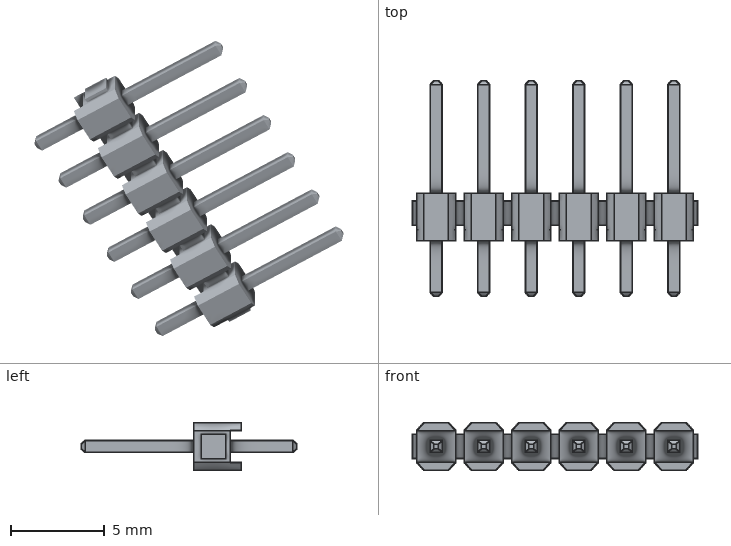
import cadquery as cq

pin_count = 6
row_length = 15.24
pitch = row_length / pin_count

block_width = 2.1
block_height = 2.55
block_depth = 2.55
bevel_width = 0.4
lip_thickness = 0.43
lip_overhang = 0.58

bar_size = 1.31
bar_rear_setback = 0.41

pin_size = 0.64
tip_length = 0.21
tip_size = 0.25
rear_pin_length = 6.02
front_pin_length = 2.97

block_rear = block_depth / 2
block_front = -block_depth / 2


def make_block():
    """Block with bevelled long edges and a front recess between its two lips."""
    half_width = block_width / 2
    half_height = block_height / 2
    flat = half_width - bevel_width
    side = half_height - lip_thickness
    outline = [
        (half_width, -side),
        (half_width, side),
        (flat, half_height),
        (-flat, half_height),
        (-half_width, side),
        (-half_width, -side),
        (-flat, -half_height),
        (flat, -half_height),
    ]
    block = cq.Workplane("XZ", origin=(0, block_rear, 0)).polyline(outline).close().extrude(block_depth)
    recess = cq.Workplane("XY").box(block_width, lip_overhang, 2 * side)
    return block.cut(recess.translate((0, block_front + lip_overhang / 2, 0)))


def make_tip(shank_end, pin_end):
    """Truncated pyramid from the square shank to the small flat at the pin end."""
    direction = 1 if pin_end > shank_end else -1
    base = cq.Plane(origin=(0, shank_end, 0), xDir=(1, 0, 0), normal=(0, direction, 0))
    return (
        cq.Workplane(base)
        .rect(pin_size, pin_size)
        .workplane(offset=tip_length)
        .rect(tip_size, tip_size)
        .loft(ruled=True)
    )


def make_pin():
    """Square pin with a tapered tip at each end."""
    rear_end = block_rear + rear_pin_length
    front_end = block_front - front_pin_length
    shank_rear = rear_end - tip_length
    shank_front = front_end + tip_length
    shank = cq.Workplane("XY").box(pin_size, shank_rear - shank_front, pin_size)
    shank = shank.translate((0, (shank_rear + shank_front) / 2, 0))
    return shank.union(make_tip(shank_rear, rear_end)).union(make_tip(shank_front, front_end))


bar_center_y = block_rear - bar_rear_setback - bar_size / 2
result = cq.Workplane("XY").box(row_length, bar_size, bar_size).translate((0, bar_center_y, 0))

position = make_block().union(make_pin())
for index in range(pin_count):
    x = (index - (pin_count - 1) / 2) * pitch
    result = result.union(position.translate((x, 0, 0)))